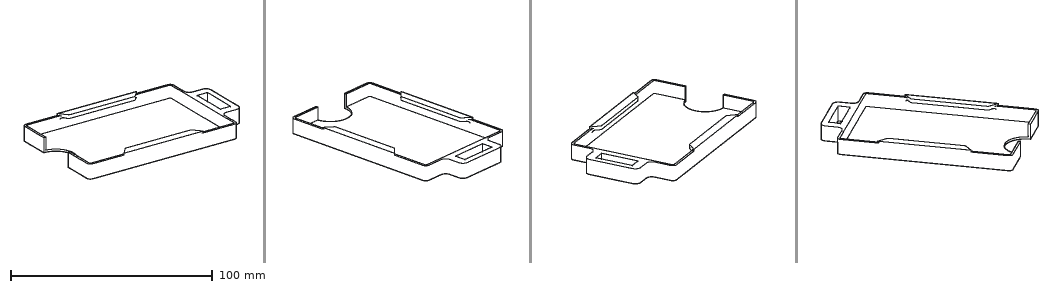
import cadquery as cq

body_width = 58.6
body_length = 89.5
body_height = 8.2
wall = 1.2
floor = 1.2
corner_radius = 2.0

total_length = 101.6
loop_width = 30.1
loop_outer_radius = 3.0
loop_root_radius = 3.0
slot_width = 20.3
slot_length = 6.2
slot_end_margin = 3.4

total_height = 9.2
tab_thickness = 2.0
tab_reach = 4.7
tab_root_length = 47.8
tab_tip_length = 39.6
tab_corner_radius = 1.0
tab_blend_radius = 1.0

notch_radius = 10.7

tab_base_z = total_height - tab_thickness
body_center_y = body_length / 2


def make_block(width, length, height, center_y, base_z=0.0):
    """Box centred on X = 0, standing on the height base_z."""
    return (
        cq.Workplane("XY", origin=(0, center_y, base_z))
        .rect(width, length)
        .extrude(height)
    )


def make_outer_solid():
    """Body outline with the lanyard loop blended into its back edge."""
    body = make_block(body_width, body_length, body_height, body_center_y)
    body = body.edges("|Z").fillet(corner_radius)

    loop_length = total_length - body_center_y
    loop = make_block(loop_width, loop_length, body_height, total_length - loop_length / 2)
    loop = loop.edges("|Z and >Y").fillet(loop_outer_radius)

    outer = body.union(loop)
    for root_x in (-loop_width / 2, loop_width / 2):
        root = cq.selectors.NearestToPointSelector((root_x, body_length, body_height / 2))
        outer = outer.edges(root).fillet(loop_root_radius)
    return outer


def make_cavity():
    """Card pocket above the floor, open at the top."""
    cavity = make_block(
        body_width - 2 * wall,
        body_length - 2 * wall,
        body_height - floor,
        body_center_y,
        floor,
    )
    return cavity.edges("|Z").fillet(corner_radius - wall)


def make_slot():
    """Lanyard slot through the loop."""
    slot_center_y = total_length - slot_end_margin - slot_length / 2
    return make_block(slot_width, slot_length, body_height, slot_center_y)


def make_notch():
    """Cylinder that cuts the thumb notch through the floor and front wall."""
    return cq.Workplane("XY").circle(notch_radius).extrude(body_height)


def make_tab(side):
    """Tapered tab that overhangs the pocket; side is -1 for left and 1 for right."""
    root_x = side * body_width / 2
    tip_x = root_x - side * tab_reach
    outline = [
        (root_x, -tab_root_length / 2),
        (tip_x, -tab_tip_length / 2),
        (tip_x, tab_tip_length / 2),
        (root_x, tab_root_length / 2),
    ]
    tab = (
        cq.Workplane("XY", origin=(0, body_center_y, tab_base_z))
        .polyline(outline)
        .close()
        .extrude(tab_thickness)
    )
    tip_side = "<X" if side > 0 else ">X"
    return tab.edges(f"|Z and {tip_side}").fillet(tab_corner_radius)


def blend_tab(tray, side):
    """Fillet the underside and the upright end corners where a tab meets the inner side wall."""
    inner_x = side * (body_width / 2 - wall)
    taper_length = (tab_root_length - tab_tip_length) / 2
    root_offset_y = tab_root_length / 2 - taper_length * wall / tab_reach
    root_z = (tab_base_z + body_height) / 2
    near_point = cq.selectors.NearestToPointSelector
    underside = near_point((inner_x, body_center_y, tab_base_z))
    front_corner = near_point((inner_x, body_center_y - root_offset_y, root_z))
    back_corner = near_point((inner_x, body_center_y + root_offset_y, root_z))
    return tray.edges(underside + front_corner + back_corner).fillet(tab_blend_radius)


result = make_outer_solid().cut(make_cavity()).cut(make_slot()).cut(make_notch())
for tab_side in (-1, 1):
    result = result.union(make_tab(tab_side))
    result = blend_tab(result, tab_side)